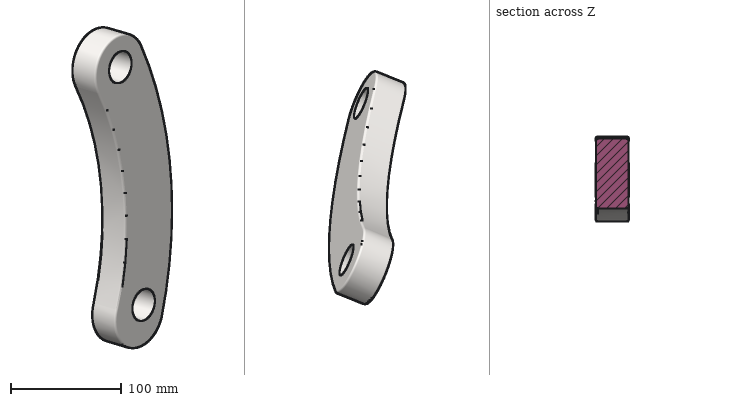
import math

import cadquery as cq

thickness = 30.0
hole_diameter = 30.0
edge_fillet = 2.0

outer_edge_radius = 360.0
inner_edge_radius = 272.0

top_end_centre = (-18.6, 120.1)
top_end_radius = 33.0
top_end_tilt = 29.0
bottom_end_centre = (7.4, -120.57)
bottom_end_radius = 32.5
bottom_end_tilt = -20.0

hole_centres = [(-18.6, 122.35), (12.55, -113.3)]


def point_on_circle(centre, radius, angle):
    """Point (Y, Z) on a circle, the angle in degrees from +Y towards +Z."""
    turn = math.radians(angle)
    return (centre[0] + radius * math.cos(turn), centre[1] + radius * math.sin(turn))


def make_plate():
    """Curved plate centred on X = 0."""
    top_outer = point_on_circle(top_end_centre, top_end_radius, top_end_tilt)
    top_tip = point_on_circle(top_end_centre, top_end_radius, top_end_tilt + 90)
    top_inner = point_on_circle(top_end_centre, top_end_radius, top_end_tilt + 180)
    bottom_outer = point_on_circle(bottom_end_centre, bottom_end_radius, bottom_end_tilt)
    bottom_tip = point_on_circle(bottom_end_centre, bottom_end_radius, bottom_end_tilt - 90)
    bottom_inner = point_on_circle(bottom_end_centre, bottom_end_radius, bottom_end_tilt - 180)
    return (
        cq.Workplane("YZ", origin=(-thickness / 2, 0, 0))
        .moveTo(*top_inner)
        .threePointArc(top_tip, top_outer)
        .radiusArc(bottom_outer, outer_edge_radius)
        .threePointArc(bottom_tip, bottom_inner)
        .radiusArc(top_inner, -inner_edge_radius)
        .close()
        .extrude(thickness)
    )


def round_outline(plate):
    """Round the outline edges of both flat faces."""
    return plate.faces("<X or >X").edges().fillet(edge_fillet)


def make_pin_holes():
    """Cutters that pass through the plate at both pin holes."""
    return (
        cq.Workplane("YZ", origin=(-thickness / 2, 0, 0))
        .pushPoints(hole_centres)
        .circle(hole_diameter / 2)
        .extrude(thickness)
    )


result = round_outline(make_plate()).cut(make_pin_holes())